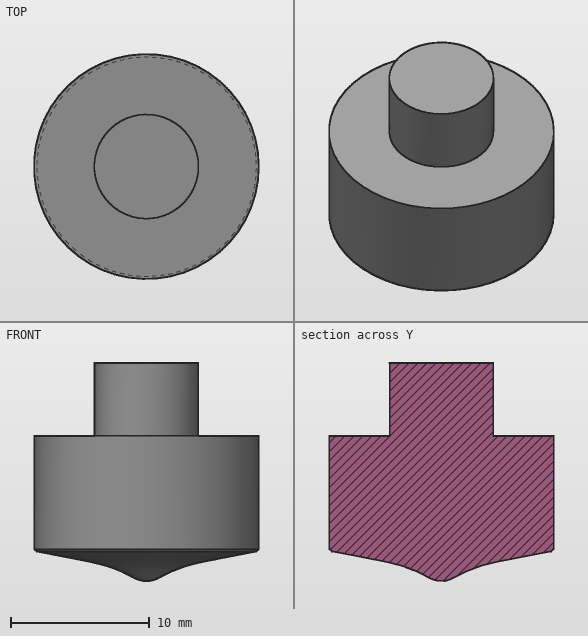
import cadquery as cq
import math

total_height = 15.72
stud_diameter = 7.5
stud_height = 5.25
body_diameter = 16.2
body_height = 8.15
chamfer_width = 0.2
chamfer_height = 0.18
flare_outer_radius = 3.95
tip_sphere_radius = 1.75

cone_angle = math.radians(11)
tip_edge_angle = math.radians(26.5)

tip_z = stud_height - total_height
wall_bottom_z = -body_height
body_radius = body_diameter / 2
stud_radius = stud_diameter / 2

cone_outer_radius = body_radius - chamfer_width
cone_top_z = wall_bottom_z - chamfer_height
cone_bottom_z = cone_top_z - (cone_outer_radius - flare_outer_radius) * math.tan(cone_angle)


def tip_point(slope_angle):
    """Point (r, z) of the spherical tip where its surface has the given slope."""
    radius = tip_sphere_radius * math.sin(slope_angle)
    height = tip_sphere_radius * (1 - math.cos(slope_angle))
    return (radius, tip_z + height)


def add_stud_and_body(profile):
    """Stud, shoulder, straight wall and the chamfer below it."""
    return (
        profile.moveTo(0, stud_height)
        .lineTo(stud_radius, stud_height)
        .lineTo(stud_radius, 0)
        .lineTo(body_radius, 0)
        .lineTo(body_radius, wall_bottom_z)
        .lineTo(cone_outer_radius, cone_top_z)
    )


def add_point(profile):
    """Shallow cone, concave flare tangent to it, and rounded tip."""
    return (
        profile.lineTo(flare_outer_radius, cone_bottom_z)
        .tangentArcPoint(tip_point(tip_edge_angle), relative=False)
        .threePointArc(tip_point(tip_edge_angle / 2), tip_point(0))
    )


half_profile = add_point(add_stud_and_body(cq.Workplane("XZ"))).close()
result = half_profile.revolve(360, (0, 0, 0), (0, 1, 0))